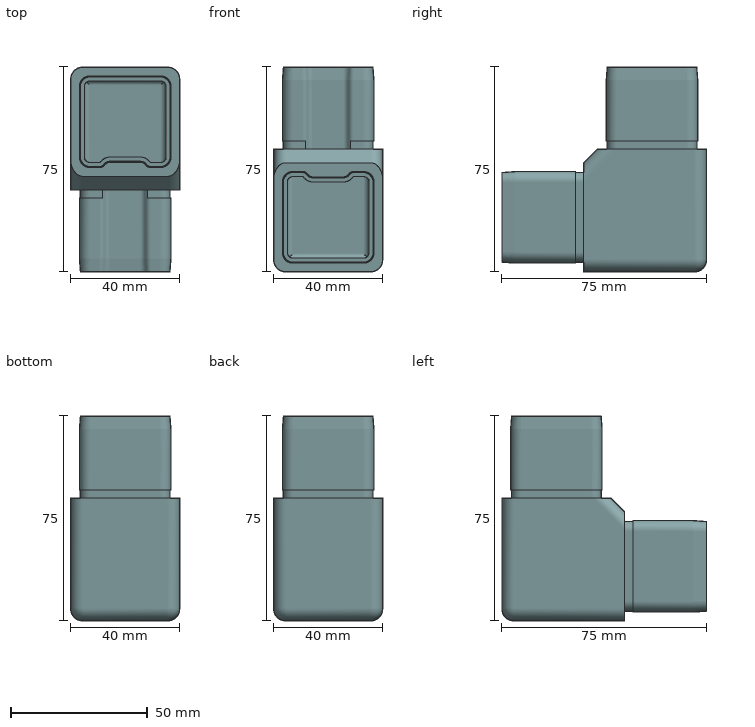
import cadquery as cq


overall_length = 75.0
body_width = 40.0
spigot_length = 30.0
bend_chamfer = 5.0
body_fillet = 4.4

tube_width = 33.6
tube_corner_radius = 3.9
wall = 1.9
bore_bend_fillet = 1.6
neck_length = 3.0
neck_inset = 0.3
tip_length = 4.9
tip_inset = 0.4

groove_depth = 1.95
groove_floor_half = 6.5
groove_radius = 2.0

body_half = body_width / 2
tube_half = tube_width / 2
bore_half = tube_half - wall
groove_mouth_half = groove_floor_half + groove_depth
tip_z = overall_length - body_half
shoulder_z = tip_z - spigot_length
neck_top_z = shoulder_z + neck_length
taper_start_z = tip_z - tip_length
mitre_normal = (0, 1, 1)


def tube_section(inset=0.0, z=0.0):
    """Outline at height z: a rounded square with the groove on its -Y side, moved inward by inset."""
    floor_y = groove_depth - tube_half
    outline = [
        (-tube_half, tube_half),
        (-tube_half, -tube_half),
        (-groove_mouth_half, -tube_half),
        (-groove_floor_half, floor_y),
        (groove_floor_half, floor_y),
        (groove_mouth_half, -tube_half),
        (tube_half, -tube_half),
        (tube_half, tube_half),
    ]
    slab_thickness = wall
    slab = cq.Workplane("XY", origin=(0, 0, z)).polyline(outline).close().extrude(slab_thickness)
    slab = slab.edges("|Z").edges("<X or >X").fillet(tube_corner_radius)
    groove_zone = cq.selectors.BoxSelector(
        (-tube_half + tube_corner_radius, -body_half, z),
        (tube_half - tube_corner_radius, 0, z + slab_thickness),
    )
    slab = slab.edges("|Z").edges(groove_zone).fillet(groove_radius)
    section = cq.Workplane("XY").add(slab.faces("<Z").wires().val()).toPending()
    return section.offset2D(-inset) if inset else section


def mirrored_pair(leg):
    """The upright leg together with its mirror image along -Y."""
    return leg.union(leg.mirror(mitre_normal))


def make_body():
    """Solid elbow block with a chamfered inner bend and rounded outer edges."""
    block = (
        cq.Workplane("YZ")
        .moveTo(-shoulder_z, -body_half)
        .lineTo(body_half, -body_half)
        .lineTo(body_half, shoulder_z)
        .lineTo(bend_chamfer - shoulder_z, shoulder_z)
        .lineTo(-shoulder_z, shoulder_z - bend_chamfer)
        .close()
        .extrude(body_half, both=True)
    )
    outer_edges = block.faces(">Y or <Z").edges("not(>Z or <Y)")
    bend_edges = block.faces(">(0,-1,1)").edges("<X or >X")
    return outer_edges.add(bend_edges).fillet(body_fillet)


def make_spigot():
    """Upright spigot, still solid: recessed neck, grooved tube and tapered tip."""
    root_z = shoulder_z - wall
    neck_height = neck_top_z - root_z
    neck_width = tube_width - 2 * neck_inset
    neck_envelope = (
        cq.Workplane("XY", origin=(0, 0, root_z))
        .rect(neck_width, neck_width)
        .extrude(neck_height)
        .edges("|Z")
        .fillet(tube_corner_radius - neck_inset)
    )
    neck = tube_section(z=root_z).extrude(neck_height).intersect(neck_envelope)
    tube = tube_section(z=neck_top_z).extrude(taper_start_z - neck_top_z)
    tip_outlines = [tube_section(z=taper_start_z).val(), tube_section(tip_inset, tip_z).val()]
    tip = cq.Workplane(cq.Solid.makeLoft(tip_outlines, True))
    return neck.union(tube).union(tip)


def make_bore():
    """Mitred passage through both legs, rounded along the edge at the back of the bend."""
    leg = tube_section(wall, -body_half).extrude(tip_z + body_half)
    upper_side = (
        cq.Workplane("YZ")
        .polyline([(body_half, -body_half), (body_half, tip_z), (-body_half, tip_z), (-body_half, body_half)])
        .close()
        .extrude(body_half, both=True)
    )
    passage = mirrored_pair(leg.intersect(upper_side))

    reach = bore_half + tip_z
    center = (tip_z - bore_half) / 2
    rounded_bend = (
        cq.Workplane("XY", origin=(0, -center, center))
        .box(2 * bore_half, reach, reach)
        .edges("|X and >Y and <Z")
        .fillet(bore_bend_fillet)
    )
    return passage.intersect(rounded_bend)


result = make_body().union(mirrored_pair(make_spigot())).cut(make_bore())